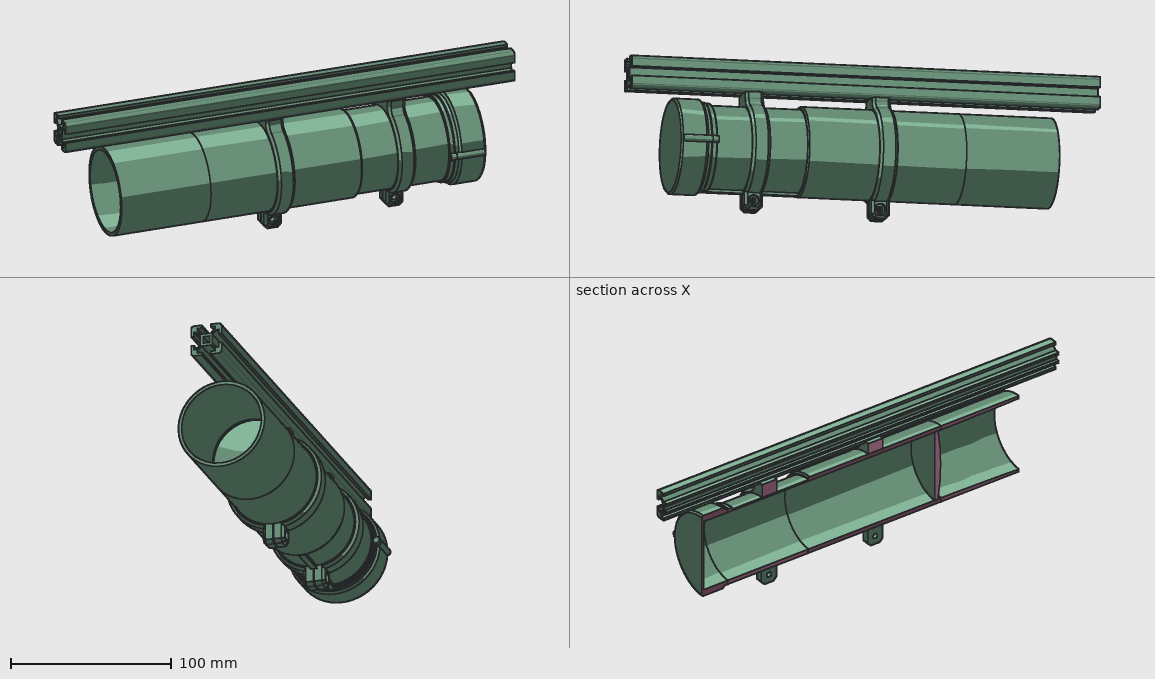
import cadquery as cq
import math


rail_length = 300.0
rail_size = 20.0
rail_bottom = 35.0
rail_corner_radius = 2.0
rail_lip = 1.8
rail_slot = 6.0
rail_corner_block = 4.2
rail_core = 8.0
rail_web = 1.4
rail_bore = 4.3

mouth_y = -119.6
tube_joint_y = -60.0
shoulder_y = 41.5
flange_front_y = 99.5
flange_rear_y = 103.2
cap_rear_y = 123.2

main_diameter = 56.6
mouth_bore = 52.21
main_bore = 50.16
rear_diameter = 53.0
rear_bore = main_bore
shoulder_chamfer = 1.0
flange_diameter = 55.41
flange_chamfer = 0.5
key_width = 4.0

cap_diameter = 60.0
cap_chamfer = 1.2
cap_front_bevel = 1.5
cap_cone_length = 2.2
cap_mouth_diameter = 56.4
cap_floor = 2.0
overall_width = 63.86
ear_diameter = 4.35
ear_x = (overall_width - ear_diameter) / 2

lens_edge = 3.0
lens_sagitta = 2.0

clamp_width = 11.5
clamp_chamfer = 1.8
clamp_wall = 2.7
clamp_neck = 20.0
clamp_fillet = 5.5
clamp_tongue = 1.0
clamp_slit = 0.8
tab_width = 14.0
tab_drop = 9.8
tab_end_bevel = 2.4
tab_hole = 3.4
tab_counterbore = 6.5
counterbore_depth = 2.0
tab_hole_inset = 5.9
front_clamp_y = -10.0
rear_clamp_y = 71.25


def cylinder(diameter, start_y, end_y, x=0.0):
    """A round bar parallel to Y."""
    plane = cq.Workplane("XZ", origin=(x, start_y, 0))
    return plane.circle(diameter / 2).extrude(start_y - end_y)


def revolved(points):
    """A body of revolution about Y from (radius, y) points."""
    return cq.Workplane("XY").polyline(points).close().revolve(360, (0, 0, 0), (0, 1, 0))


def rail_bar(width, height):
    """A rectangular bar as long as the rail, centred on the rail's own axis."""
    return cq.Workplane("XZ").rect(width, height).extrude(rail_length / 2, both=True)


def make_rail():
    """A four-slot extrusion: square core, diagonal webs and four hooked corners."""
    half = rail_size / 2
    outside = rail_bar(rail_size, rail_size).edges("|Y").fillet(rail_corner_radius)
    cavity = rail_size - 2 * rail_lip
    corners = outside.cut(rail_bar(cavity, cavity))
    corners = corners.cut(rail_bar(rail_slot, rail_size)).cut(rail_bar(rail_size, rail_slot))

    block_offset = half - rail_corner_block / 2
    block = rail_bar(rail_corner_block, rail_corner_block)
    for x in (-block_offset, block_offset):
        for z in (-block_offset, block_offset):
            corners = corners.union(block.translate((x, 0, z)).intersect(outside))

    core = rail_bar(rail_core, rail_core)
    for angle in (45, -45):
        core = core.union(rail_bar(rail_web, rail_size).rotate((0, 0, 0), (0, 1, 0), angle))
    profile = core.union(corners).cut(rail_bar(rail_bore, rail_bore))
    return profile.translate((0, 0, rail_bottom + half))


def make_mouth_tube():
    """The open front tube, its bore narrowing toward the lens."""
    outer = main_diameter / 2
    return revolved([
        (mouth_bore / 2, mouth_y),
        (outer, mouth_y),
        (outer, tube_joint_y),
        (main_bore / 2, tube_joint_y),
    ])


def make_main_tube():
    """The middle tube, bevelled at its rear shoulder."""
    outer = main_diameter / 2
    return revolved([
        (main_bore / 2, tube_joint_y),
        (outer, tube_joint_y),
        (outer, shoulder_y - shoulder_chamfer),
        (outer - shoulder_chamfer, shoulder_y),
        (main_bore / 2, shoulder_y),
    ])


def make_lens():
    """A plano-convex lens with its domed face toward the mouth."""
    radius = main_bore / 2
    rim_y = tube_joint_y + lens_sagitta
    back_y = rim_y + lens_edge
    outline = cq.Workplane("XY").moveTo(0, back_y).lineTo(radius, back_y).lineTo(radius, rim_y)
    dome_radius = (radius**2 + lens_sagitta**2) / (2 * lens_sagitta)
    half_angle = math.asin(radius / dome_radius) / 2
    middle = (
        dome_radius * math.sin(half_angle),
        tube_joint_y + dome_radius * (1 - math.cos(half_angle)),
    )
    outline = outline.threePointArc(middle, (0, tube_joint_y)).close()
    return outline.revolve(360, (0, 0, 0), (0, 1, 0))


def make_key():
    """The flat-sided key along the underside of the rear tube."""
    key = cylinder(main_diameter, shoulder_y, flange_rear_y)
    height = main_diameter / 2
    strip = cq.Workplane("XY").box(key_width, rail_length, height, centered=(True, True, False))
    return key.intersect(strip.translate((0, 0, -height)))


def make_rear_tube():
    """The narrower tube with its eared flange and underside key."""
    barrel = cylinder(rear_diameter, shoulder_y, flange_rear_y)
    flange = cylinder(flange_diameter, flange_front_y, flange_rear_y).edges().chamfer(flange_chamfer)
    tube = barrel.union(flange).union(make_key())
    for side in (-1, 1):
        tube = tube.union(cylinder(ear_diameter, flange_front_y, flange_rear_y, side * ear_x))
    return tube.cut(cylinder(rear_bore, shoulder_y, flange_rear_y))


def make_cap():
    """The rear cap: a closed cup with a rounded ear along each side."""
    outer = cap_diameter / 2
    cap = revolved([
        (0, flange_rear_y),
        (cap_mouth_diameter / 2, flange_rear_y),
        (outer - cap_front_bevel, flange_rear_y + cap_cone_length),
        (outer, flange_rear_y + cap_cone_length + cap_front_bevel),
        (outer, cap_rear_y - cap_chamfer),
        (outer - cap_chamfer, cap_rear_y),
        (0, cap_rear_y),
    ])
    for side in (-1, 1):
        cap = cap.union(cylinder(ear_diameter, flange_rear_y, cap_rear_y - cap_chamfer, side * ear_x))
    return cap.cut(cylinder(rear_bore, flange_rear_y, cap_rear_y - cap_floor))


def make_clamp(center_y, bore_diameter):
    """A split ring with a neck up to the rail and a screw tab below."""
    ring_radius = bore_diameter / 2 + clamp_wall
    neck = clamp_neck / 2
    fillet_x = neck + clamp_fillet
    fillet_z = math.sqrt((ring_radius + clamp_fillet) ** 2 - fillet_x**2)
    tangent_scale = ring_radius / (ring_radius + clamp_fillet)
    tangent = (fillet_x * tangent_scale, fillet_z * tangent_scale)
    middle_angle = math.pi + math.atan2(fillet_z, fillet_x) / 2
    middle = (
        fillet_x + clamp_fillet * math.cos(middle_angle),
        fillet_z + clamp_fillet * math.sin(middle_angle),
    )

    tab = tab_width / 2
    tab_top = -math.sqrt(ring_radius**2 - tab**2)
    tab_bottom = -(ring_radius + tab_drop)

    outline = cq.Workplane("XZ").moveTo(-neck, rail_bottom).lineTo(neck, rail_bottom)
    outline = outline.lineTo(neck, fillet_z).threePointArc(middle, tangent)
    outline = outline.threePointArc((ring_radius, 0), (tab, tab_top))
    outline = outline.lineTo(tab, tab_bottom).lineTo(-tab, tab_bottom).lineTo(-tab, tab_top)
    outline = outline.threePointArc((-ring_radius, 0), (-tangent[0], tangent[1]))
    outline = outline.threePointArc((-middle[0], middle[1]), (-neck, fillet_z)).close()
    clamp = outline.extrude(clamp_width / 2, both=True)

    clamp = clamp.faces("<Z").edges("|X").chamfer(tab_end_bevel)
    corners = clamp.faces("<Z").edges("|Y").vals()
    rims = clamp.edges("not (|X or |Y)").vals()
    clamp = clamp.newObject(rims + corners).chamfer(clamp_chamfer)

    tongue = cq.Workplane("XY", origin=(0, 0, rail_bottom))
    tongue = tongue.rect(rail_slot, clamp_width).extrude(clamp_tongue)
    clamp = clamp.union(tongue)

    clamp = clamp.cut(cylinder(bore_diameter, -clamp_width, clamp_width))
    slit = cq.Workplane("XY").rect(clamp_slit, 2 * clamp_width).extrude(2 * tab_bottom)
    clamp = clamp.cut(slit)
    hole_plane = cq.Workplane("YZ", origin=(0, 0, tab_bottom + tab_hole_inset))
    clamp = clamp.cut(hole_plane.circle(tab_hole / 2).extrude(tab_width, both=True))
    for side in (-1, 1):
        seat = hole_plane.workplane(offset=side * (tab - counterbore_depth))
        clamp = clamp.cut(seat.circle(tab_counterbore / 2).extrude(side * tab_width))
    return clamp.translate((0, center_y, 0))


rail = make_rail()
mouth_tube = make_mouth_tube()
main_tube = make_main_tube()
lens = make_lens()
rear_tube = make_rear_tube()
cap = make_cap()
front_clamp = make_clamp(front_clamp_y, main_diameter)
rear_clamp = make_clamp(rear_clamp_y, rear_diameter).cut(make_key())

bodies = [rail, mouth_tube, main_tube, lens, rear_tube, cap, front_clamp, rear_clamp]
result = cq.Compound.makeCompound([body.val() for body in bodies])